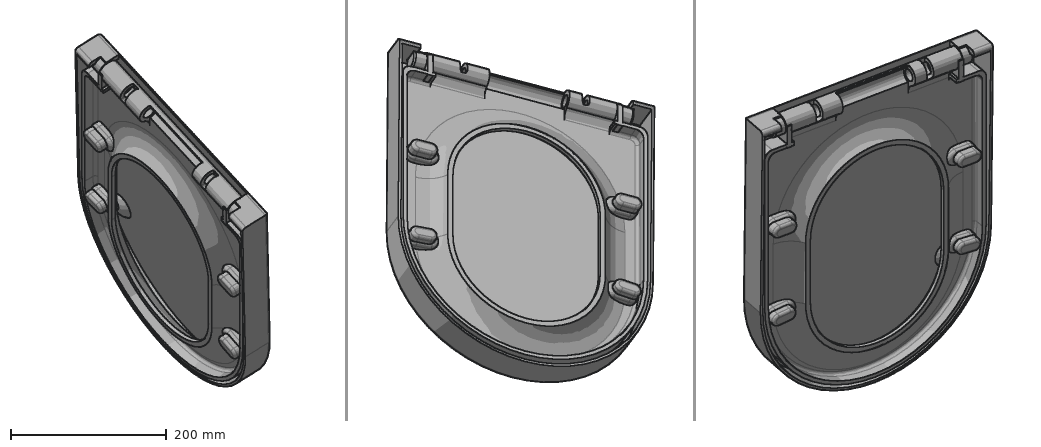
import cadquery as cq
import math


LID_HALF_WIDTH = 178.5
LID_LENGTH = 462.0
LID_DEPTH = 42.0
LID_WALL = 3.5
LID_TOP_WALL = 9.0
LID_EDGE_FILLET = 5.5
LID_TILT = 0.93
HINGE_GAP_HALF_WIDTH = 137.0
BEARING_NOTCH_HALF_WIDTH = 149.0
BEARING_NOTCH_DEPTH = 18.5

BUFFER_RADIUS = 18.5
BUFFER_HEIGHT = 9.3
BUFFER_X = 136.5
BUFFER_Z = -336.0

SEAT_HALF_WIDTH = 171.0
SEAT_TOP_Z = -37.5
SEAT_ARC_Z = -281.5
SEAT_CORNER_RADIUS = 11.5
RIM_WIDTH = 5.5
RIM_Y = 5.5
RIM_FOOT_FILLET = 4.5
FLOOR_Y = 23.0
FLOOR_THICKNESS = 6.5
FLOOR_BACK_Y = FLOOR_Y + FLOOR_THICKNESS

OPENING_RADIUS = 103.0
OPENING_UPPER_Z = -199.0
OPENING_LOWER_Z = -294.0
LIP_Y = 2.0
LIP_WIDTH = 7.5
LIP_THICKNESS = 6.0
SLOPE_WIDTH = 36.0
RING_RADIUS = OPENING_RADIUS + LIP_WIDTH + SLOPE_WIDTH

HINGE_RADIUS = 15.0
HINGE_Y = 21.5
HINGE_Z = -15.5
WEB_TOP_Z = -27.0
WEB_TOP_Y = 12.5
WEB_FOOT_Z = -43.5
FLANGE_WIDTH = 7.5
RIM_RETURN_WIDTH = 11.5
FLANGE_TOP_Z = -10.0
STUB_RADIUS = 13.0
STUB_END_X = 154.0
STUB_CHAMFER = 2.5
STUB_CLEARANCE = 0.5
TROUGH_LEFT_X = -49.5
TROUGH_RIGHT_X = 62.5
TROUGH_RADIUS = 12.0
TROUGH_FACE_Y = 23.0
BORE_RADIUS = 8.5
BORE_HALF_LENGTH = 97.0
SLOT_X = 85.5
SLOT_WIDTH = 10.0
SLOT_FLOOR_Y = 27.5
SLOT_END_Z = -23.0

PAD_X = 143.0
PAD_LENGTH = 36.5
PAD_WIDTH = 18.5
PAD_FILLET = 4.0
BASE_X = 139.7
BASE_LENGTH = 45.5
BASE_WIDTH = 24.0
BASE_HEIGHT = 12.0
BASE_FILLET = 5.5
FOOT_ROOT_Y = FLOOR_Y + 0.5
UPPER_FOOT = {"z": -165.0, "front_y": -1.5, "turn": 0}
LOWER_FOOT = {"z": -302.5, "front_y": 0.5, "turn": 5}


def box(x0, x1, y0, y1, z0, z1):
    """A box between two corners."""
    return cq.Workplane("XY").box(x1 - x0, y1 - y0, z1 - z0, centered=False).translate((x0, y0, z0))


def d_plate(half_width, top_z, arc_z, y0, y1):
    """A D-shaped plate from y0 to y1: a square top end and a half-round lower end."""
    return (
        cq.Workplane("XZ", origin=(0, y0, 0))
        .moveTo(-half_width, top_z)
        .lineTo(half_width, top_z)
        .lineTo(half_width, arc_z)
        .threePointArc((0, arc_z - half_width), (-half_width, arc_z))
        .close()
        .extrude(y0 - y1)
    )


def x_cylinder(radius, x0, x1):
    """A cylinder on the hinge axis."""
    return cq.Workplane("YZ", origin=(x0, HINGE_Y, HINGE_Z)).circle(radius).extrude(x1 - x0)


def lid_buffer(side):
    """A spherical cap on the inner face of the lid."""
    inner_y = LID_DEPTH - LID_WALL
    sphere_radius = (BUFFER_RADIUS**2 + BUFFER_HEIGHT**2) / (2 * BUFFER_HEIGHT)
    centre_y = inner_y - BUFFER_HEIGHT + sphere_radius
    sphere = cq.Workplane("XY").sphere(sphere_radius).translate((side * BUFFER_X, centre_y, BUFFER_Z))
    keep = box(-LID_HALF_WIDTH, LID_HALF_WIDTH, 0, inner_y + LID_WALL / 2, -LID_LENGTH, 0)
    return sphere.intersect(keep)


def make_lid():
    arc_z = LID_HALF_WIDTH - LID_LENGTH
    body = d_plate(LID_HALF_WIDTH, 0, arc_z, 0, LID_DEPTH)
    body = body.faces(">Y").edges().fillet(LID_EDGE_FILLET)
    body = body.faces("<Y").edges(">Z").fillet(LID_EDGE_FILLET)
    inner_y = LID_DEPTH - LID_WALL
    body = body.cut(d_plate(LID_HALF_WIDTH - LID_WALL, -LID_TOP_WALL, arc_z, 0, inner_y))
    gap = HINGE_GAP_HALF_WIDTH
    notch = BEARING_NOTCH_HALF_WIDTH
    body = body.cut(box(-gap, gap, 0, inner_y, -LID_TOP_WALL, LID_EDGE_FILLET))
    body = body.cut(box(-notch, notch, 0, BEARING_NOTCH_DEPTH, -LID_TOP_WALL, LID_EDGE_FILLET))
    for side in (-1, 1):
        body = body.union(lid_buffer(side))
    body = body.rotate((0, 0, 0), (1, 0, 0), LID_TILT)
    bore_end = STUB_END_X + STUB_CLEARANCE
    return body.cut(x_cylinder(STUB_RADIUS + STUB_CLEARANCE, -bore_end, bore_end))


def make_tray():
    """The seat floor with its rim, still without the opening."""
    tray = d_plate(SEAT_HALF_WIDTH, SEAT_TOP_Z, SEAT_ARC_Z, RIM_Y, FLOOR_BACK_Y)
    tray = tray.edges("|Y and >Z").fillet(SEAT_CORNER_RADIUS)
    pocket = d_plate(SEAT_HALF_WIDTH - RIM_WIDTH, SEAT_TOP_Z - RIM_WIDTH, SEAT_ARC_Z, RIM_Y, FLOOR_Y)
    pocket = pocket.edges("|Y and >Z").fillet(SEAT_CORNER_RADIUS)
    pocket = pocket.faces(">Y").edges().fillet(RIM_FOOT_FILLET)
    break_x = HINGE_GAP_HALF_WIDTH - RIM_RETURN_WIDTH
    break_z = WEB_FOOT_Z - RIM_FOOT_FILLET
    hinge_break = box(-break_x, break_x, RIM_Y, FLOOR_Y, break_z, SEAT_TOP_Z)
    return tray.cut(pocket).cut(hinge_break)


def stadium(radius, y0, y1):
    """An upright stadium around the two opening centres."""
    length = OPENING_UPPER_Z - OPENING_LOWER_Z + 2 * radius
    middle_z = (OPENING_UPPER_Z + OPENING_LOWER_Z) / 2
    return cq.Workplane("XZ", origin=(0, y0, middle_z)).slot2D(length, 2 * radius, 90).extrude(y0 - y1)


def arc_middle(inner, outer):
    """Middle point of an arc from inner to outer that ends parallel to the floor."""
    run = outer[0] - inner[0]
    rise = outer[1] - inner[1]
    radius = (run**2 + rise**2) / (2 * rise)
    half_angle = math.atan2(rise, run)
    return (outer[0] - radius * math.sin(half_angle), outer[1] - radius * (1 - math.cos(half_angle)))


def ring_profile(plane):
    """Section of the raised ring: a flat lip and a curved slope down to the floor."""
    lip_edge = (OPENING_RADIUS + LIP_WIDTH, LIP_Y)
    foot = (RING_RADIUS, FLOOR_Y)
    back_foot = (RING_RADIUS, FLOOR_BACK_Y)
    back_lip = (OPENING_RADIUS, LIP_Y + LIP_THICKNESS)
    return (
        plane.moveTo(OPENING_RADIUS, LIP_Y)
        .lineTo(*lip_edge)
        .threePointArc(arc_middle(lip_edge, foot), foot)
        .lineTo(*back_foot)
        .threePointArc(arc_middle(back_lip, back_foot), back_lip)
        .close()
    )


def make_ring():
    """The raised ring: two revolved ends joined by straight sides."""
    straight = OPENING_UPPER_Z - OPENING_LOWER_Z
    lower_plane = cq.Workplane("XY", origin=(0, 0, OPENING_LOWER_Z))
    upper_plane = cq.Workplane("XY", origin=(0, 0, OPENING_UPPER_Z))
    side = ring_profile(lower_plane).extrude(straight)
    lower_end = ring_profile(lower_plane).revolve(180, (0, 0), (0, 1))
    upper_end = ring_profile(upper_plane).revolve(180, (0, 0), (0, -1))
    return lower_end.union(upper_end).union(side).union(side.mirror("YZ"))


def make_hinge():
    """Hinge barrel with its web, end flanges and stubs, and the cuts in the barrel."""
    half = HINGE_GAP_HALF_WIDTH - STUB_CLEARANCE
    flange_inner_x = half - FLANGE_WIDTH
    barrel = x_cylinder(HINGE_RADIUS, -half, half)

    depth_below_top, bend_y = arc_middle((-WEB_TOP_Z, WEB_TOP_Y), (-WEB_FOOT_Z, FLOOR_Y))
    web = (
        cq.Workplane("YZ", origin=(-half, 0, 0))
        .moveTo(FLOOR_Y, WEB_FOOT_Z)
        .threePointArc((bend_y, -depth_below_top), (WEB_TOP_Y, WEB_TOP_Z))
        .lineTo(HINGE_Y, HINGE_Z)
        .lineTo(FLOOR_BACK_Y, HINGE_Z)
        .lineTo(FLOOR_BACK_Y, WEB_FOOT_Z)
        .close()
        .extrude(2 * half)
    )
    hinge = barrel.union(web)

    hinge = hinge.cut(x_cylinder(BORE_RADIUS, -BORE_HALF_LENGTH, BORE_HALF_LENGTH))
    hinge = hinge.cut(box(TROUGH_LEFT_X, TROUGH_RIGHT_X, 0, TROUGH_FACE_Y, WEB_FOOT_Z, 0))
    hinge = hinge.cut(x_cylinder(TROUGH_RADIUS, TROUGH_LEFT_X, TROUGH_RIGHT_X))

    for side in (-1, 1):
        slot = (
            cq.Workplane("XZ", origin=(side * SLOT_X, 0, SLOT_END_Z + SLOT_WIDTH / 2))
            .circle(SLOT_WIDTH / 2)
            .extrude(-SLOT_FLOOR_Y)
        )
        edge = side * SLOT_X - SLOT_WIDTH / 2
        slot = slot.union(box(edge, edge + SLOT_WIDTH, 0, SLOT_FLOOR_Y, SLOT_END_Z + SLOT_WIDTH / 2, 0))
        hinge = hinge.cut(slot)

    flange = box(flange_inner_x, half, RIM_Y, FLOOR_BACK_Y, WEB_FOOT_Z, FLANGE_TOP_Z)
    stubs = x_cylinder(STUB_RADIUS, -STUB_END_X, STUB_END_X).faces("<X or >X").chamfer(STUB_CHAMFER)
    stubs = stubs.cut(box(-flange_inner_x, flange_inner_x, 0, LID_DEPTH, WEB_FOOT_Z, 0))
    return hinge.union(flange).union(flange.mirror("YZ")).union(stubs)


def rounded_slot(length, width, front_y, fillet):
    """A stadium block from the foot root to front_y with a rounded front edge."""
    block = cq.Workplane("XZ", origin=(0, FOOT_ROOT_Y, 0)).slot2D(length, width)
    return block.extrude(FOOT_ROOT_Y - front_y).faces("<Y").edges().fillet(fillet)


def make_foot(side, z, front_y, turn):
    """A bumper foot on the seat floor."""
    pad = rounded_slot(PAD_LENGTH, PAD_WIDTH, front_y, PAD_FILLET)
    base = rounded_slot(BASE_LENGTH, BASE_WIDTH, FLOOR_Y - BASE_HEIGHT, BASE_FILLET)
    foot = pad.union(base.translate((side * (BASE_X - PAD_X), 0, 0)))
    foot = foot.rotate((0, 0, 0), (0, 1, 0), side * turn)
    return foot.translate((side * PAD_X, 0, z))


def make_seat():
    seat = make_tray().cut(stadium(RING_RADIUS, 0, LID_DEPTH))
    seat = seat.union(make_ring()).union(make_hinge())
    for side in (-1, 1):
        for place in (UPPER_FOOT, LOWER_FOOT):
            seat = seat.union(make_foot(side, **place))
    return seat


lid = make_lid()
seat = make_seat()
result = cq.Compound.makeCompound([lid.solids().val(), seat.solids().val()])